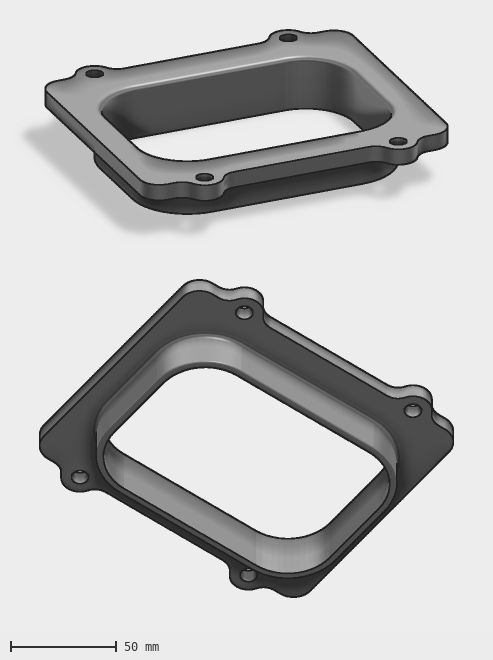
import cadquery as cq

flange_width = 128.0
flange_length = 158.0
flange_thickness = 8.0
flange_corner_radius = 10.0

lug_radius = 9.0
lug_spacing = 100.0
lug_blend_radius = 8.5
bolt_hole_diameter = 8.0

opening_width = 88.0
opening_length = 128.0
opening_corner_radius = 25.0
opening_edge_radius = 3.0

wall_thickness = 3.5
total_height = 27.3
skirt_root_radius = 3.0
skirt_rim_radius = 1.0
skirt_height = total_height - flange_thickness
skirt_width = opening_width + 2 * wall_thickness
skirt_length = opening_length + 2 * wall_thickness
skirt_corner_radius = opening_corner_radius + wall_thickness

selection_margin = 0.2

lug_centers = [
    (side * flange_width / 2, end * lug_spacing / 2)
    for side in (-1, 1)
    for end in (-1, 1)
]


def rounded_block(width, length, corner_radius, bottom, height):
    """Upright block with rounded corners, centred on the Z axis."""
    block = cq.Workplane("XY").workplane(offset=bottom).rect(width, length).extrude(height)
    return block.edges("|Z").fillet(corner_radius)


def edges_within(width, length, level):
    """Selector for edges that lie at one level inside a centred rectangle."""
    half_width = width / 2 + selection_margin
    half_length = length / 2 + selection_margin
    return cq.selectors.BoxSelector(
        (-half_width, -half_length, level - selection_margin),
        (half_width, half_length, level + selection_margin),
        boundingbox=True,
    )


def make_flange():
    """Plate with four round lugs blended into its long edges."""
    plate = rounded_block(flange_width, flange_length, flange_corner_radius, 0, flange_thickness)
    lugs = cq.Workplane("XY").pushPoints(lug_centers).circle(lug_radius).extrude(flange_thickness)
    plate = plate.union(lugs)

    for x, y in lug_centers:
        for step in (-lug_radius, lug_radius):
            corner = cq.selectors.NearestToPointSelector((x, y + step, flange_thickness / 2))
            plate = plate.edges("|Z").edges(corner).fillet(lug_blend_radius)
    return plate


def make_skirt():
    """Solid rounded skirt with a softened lower rim."""
    skirt = rounded_block(skirt_width, skirt_length, skirt_corner_radius, -skirt_height, skirt_height)
    return skirt.faces("<Z").edges().fillet(skirt_rim_radius)


def make_opening():
    """Cutter for the opening, over the full height of the part."""
    return rounded_block(
        opening_width, opening_length, opening_corner_radius, -skirt_height, total_height
    )


def make_bolt_holes():
    """Cutters for the through holes, one at the centre of each lug."""
    holes = cq.Workplane("XY").pushPoints(lug_centers)
    return holes.circle(bolt_hole_diameter / 2).extrude(flange_thickness)


body = make_flange().union(make_skirt())
body = body.edges(edges_within(skirt_width, skirt_length, 0)).fillet(skirt_root_radius)

body = body.cut(make_opening())
opening_edge = edges_within(opening_width, opening_length, flange_thickness)
body = body.edges(opening_edge).fillet(opening_edge_radius)

result = body.cut(make_bolt_holes())